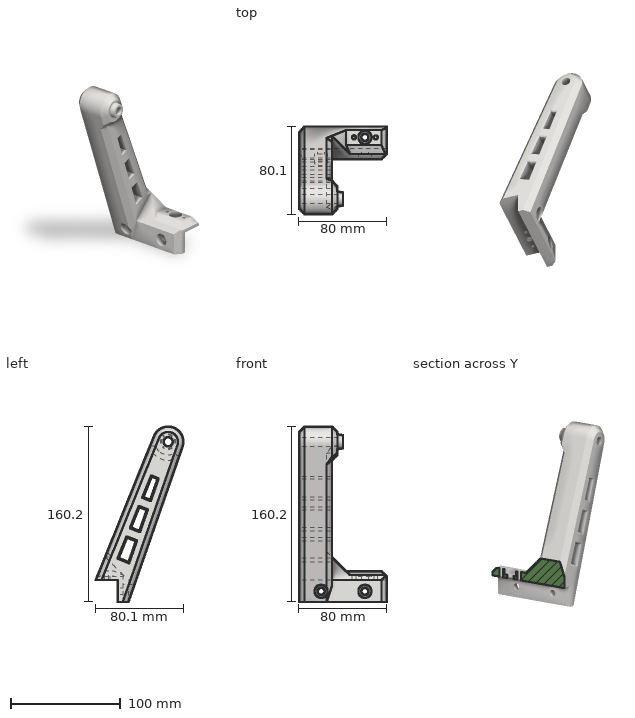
import cadquery as cq
import math

HEIGHT = 160.2
DEPTH = 80.1
FOOT_LENGTH = 80.0
ARM_WIDTH = 30.0
HEAD_WIDTH = 35.0
BASE_DEPTH = 30.0
STEP = 20.0
BEVEL = 5.0
HEAD_RADIUS = 14.0
OVERLAP = 16.0

HEAD_Y = HEAD_RADIUS - DEPTH
HEAD_Z = HEIGHT - HEAD_RADIUS

HUB_TIP_RADIUS = 12.0
PIN_BASE_DIAMETER = 14.0
PIN_TIP_DIAMETER = 12.2
PIN_END_X = 40.0
PIVOT_DIAMETER = 8.2

FOOT_HEIGHT = 28.4
GUSSET_TOP = 41.2
ROOF_REAR = (-17.0, FOOT_HEIGHT)
ROOF_FRONT = (-25.6, 24.5)

WINDOW_WALL = 12.0
WINDOW_LENGTH = 20.0
WINDOW_START = 26.8
WINDOW_PITCH = 30.0
WINDOW_COUNT = 3
WINDOW_BEVEL = 1.0

SCREW_DIAMETER = 6.2
COUNTERBORE_DIAMETER = 12.0
COUNTERBORE_DEPTH = 5.0
LOCATING_DIAMETER = 3.4
LOCATING_SPACING = 10.0
SCREW_Z = 10.0
ARM_SCREW_X = 20.0
FOOT_SCREW_X = 60.0
TOP_SCREW_Y = -10.0


def lean_to_head(y, z, side):
    """Angle from vertical of the line from (y, z) tangent to the head circle."""
    distance = math.hypot(HEAD_Y - y, HEAD_Z - z)
    return math.atan2(y - HEAD_Y, HEAD_Z - z) + side * math.asin(HEAD_RADIUS / distance)


REAR_LEAN = lean_to_head(0, STEP, -1)
FRONT_LEAN = lean_to_head(-BASE_DEPTH, 0, 1)


def rear_y(z):
    return -(z - STEP) * math.tan(REAR_LEAN)


def front_y(z):
    return -BASE_DEPTH - z * math.tan(FRONT_LEAN)


def yz_prism(points, x_start, x_end):
    return cq.Workplane("YZ", origin=(x_start, 0, 0)).polyline(points).close().extrude(x_end - x_start)


def xz_prism(points):
    """Prism across the whole depth of the part."""
    return cq.Workplane("XZ").polyline(points).close().extrude(DEPTH)


def arm_blank(x_start, x_end):
    """Tapered arm with a round head, running past the base so that it can be trimmed."""
    rear_tangent = (HEAD_Y + HEAD_RADIUS * math.cos(REAR_LEAN), HEAD_Z + HEAD_RADIUS * math.sin(REAR_LEAN))
    front_tangent = (HEAD_Y - HEAD_RADIUS * math.cos(FRONT_LEAN), HEAD_Z - HEAD_RADIUS * math.sin(FRONT_LEAN))
    return (
        cq.Workplane("YZ", origin=(x_start, 0, 0))
        .moveTo(rear_y(-OVERLAP), -OVERLAP)
        .lineTo(*rear_tangent)
        .threePointArc((HEAD_Y, HEIGHT), front_tangent)
        .lineTo(front_y(-OVERLAP), -OVERLAP)
        .close()
        .extrude(x_end - x_start)
    )


def bevelled_arm(width):
    return arm_blank(0, width).faces("<X or >X").edges().chamfer(BEVEL)


def x_cone(x_start, x_end, start_radius, end_radius):
    """Cone about the head axis."""
    return cq.Workplane(cq.Solid.makeCone(
        start_radius, end_radius, x_end - x_start,
        cq.Vector(x_start, HEAD_Y, HEAD_Z), cq.Vector(1, 0, 0),
    ))


def make_arm():
    hub_cone = x_cone(0, HEAD_WIDTH, HUB_TIP_RADIUS + HEAD_WIDTH, HUB_TIP_RADIUS)
    head = bevelled_arm(HEAD_WIDTH).intersect(hub_cone)
    pin_start = HEAD_WIDTH - BEVEL
    taper = (PIN_BASE_DIAMETER - PIN_TIP_DIAMETER) / 2 / (PIN_END_X - HEAD_WIDTH)
    pin = x_cone(
        pin_start, PIN_END_X, PIN_TIP_DIAMETER / 2 + taper * (PIN_END_X - pin_start), PIN_TIP_DIAMETER / 2
    )
    arm = bevelled_arm(ARM_WIDTH).union(head).union(pin)

    keep = yz_prism(
        [(-STEP, 0), (-STEP, STEP), (OVERLAP, STEP), (OVERLAP, HEIGHT + OVERLAP),
         (-DEPTH - OVERLAP, HEIGHT + OVERLAP), (-DEPTH - OVERLAP, 0)],
        0, FOOT_LENGTH,
    )
    return arm.intersect(keep)


def make_foot():
    """Foot with a sloped front, joined to the arm by a 45 degree gusset."""
    def foot_body(length, top):
        sloped_front_y = -BASE_DEPTH + top - STEP
        return yz_prism(
            [(-STEP, 0), (-BASE_DEPTH, 0), (-BASE_DEPTH, STEP), (sloped_front_y, top),
             (rear_y(top), top), (0, STEP), (-STEP, STEP)],
            ARM_WIDTH - BEVEL, length,
        )

    foot = foot_body(FOOT_LENGTH, FOOT_HEIGHT)
    roof_cut = yz_prism(
        [ROOF_REAR, ROOF_FRONT, (ROOF_FRONT[0], FOOT_HEIGHT)],
        0, FOOT_LENGTH,
    )
    foot = foot.cut(roof_cut)
    end_bevel = xz_prism(
        [(FOOT_LENGTH - BEVEL, FOOT_HEIGHT), (FOOT_LENGTH, FOOT_HEIGHT), (FOOT_LENGTH, FOOT_HEIGHT - BEVEL)]
    )
    corner_bevel = (
        cq.Workplane("XY")
        .polyline([(FOOT_LENGTH - BEVEL, -BASE_DEPTH), (FOOT_LENGTH, -BASE_DEPTH),
                   (FOOT_LENGTH, -BASE_DEPTH + BEVEL)])
        .close()
        .extrude(FOOT_HEIGHT)
    )
    foot = foot.cut(end_bevel).cut(corner_bevel)

    slope_foot_x = ARM_WIDTH + GUSSET_TOP - STEP
    slope_top_x = ARM_WIDTH - BEVEL
    below_slope = xz_prism([(slope_top_x, STEP), (slope_foot_x, STEP), (slope_top_x, GUSSET_TOP + BEVEL)])
    gusset = foot_body(slope_foot_x, GUSSET_TOP).intersect(below_slope)
    bevel_fill = (
        arm_blank(slope_top_x, ARM_WIDTH)
        .intersect(below_slope)
        .intersect(cq.Workplane("XY").box(FOOT_LENGTH, STEP, HEIGHT, centered=False).translate((0, -STEP, 0)))
    )
    return foot.union(gusset).union(bevel_fill)


def window_tool(index):
    """Window with walls parallel to the arm's edges and ends square to its rear edge."""
    taper = FRONT_LEAN - REAR_LEAN
    axis_y, axis_z = -math.sin(REAR_LEAN), math.cos(REAR_LEAN)
    front_offset_y, front_offset_z = -BASE_DEPTH, -STEP
    front_u = front_offset_y * axis_y + front_offset_z * axis_z
    front_v = -front_offset_y * axis_z + front_offset_z * axis_y

    def outline(margin):
        wall = WINDOW_WALL - margin
        bottom = WINDOW_START + index * WINDOW_PITCH - margin
        top = bottom + WINDOW_LENGTH + 2 * margin

        def front_wall(u):
            return front_v + (u - front_u) * math.tan(taper) - wall / math.cos(taper)

        corners = [(bottom, wall), (top, wall), (top, front_wall(top)), (bottom, front_wall(bottom))]
        return [(u * axis_y - v * axis_z, STEP + u * axis_z + v * axis_y) for u, v in corners]

    opening = yz_prism(outline(0), 0, ARM_WIDTH)
    rim = (
        cq.Workplane("YZ").polyline(outline(WINDOW_BEVEL)).close()
        .workplane(offset=WINDOW_BEVEL).polyline(outline(0)).close()
        .loft(ruled=True)
    )
    return opening.union(rim)


def counterbored_hole(face, drill_direction):
    """Screw hole through the foot, with a counterbore open outside the given face point."""
    start = cq.Vector(*face)
    direction = cq.Vector(*drill_direction)
    outside = start - direction * OVERLAP
    drill = cq.Solid.makeCylinder(SCREW_DIAMETER / 2, OVERLAP + BASE_DEPTH, outside, direction)
    counterbore = cq.Solid.makeCylinder(
        COUNTERBORE_DIAMETER / 2, OVERLAP + COUNTERBORE_DEPTH, outside, direction
    )
    return cq.Workplane(drill).union(cq.Workplane(counterbore))


def z_hole(x, y, diameter):
    """Straight hole down from the foot's top to the underside of the step."""
    return cq.Workplane("XY", origin=(x, y, STEP)).circle(diameter / 2).extrude(FOOT_HEIGHT - STEP)


result = make_arm().union(make_foot())

for window_index in range(WINDOW_COUNT):
    result = result.cut(window_tool(window_index))

pivot_hole = cq.Workplane("YZ").center(HEAD_Y, HEAD_Z).circle(PIVOT_DIAMETER / 2).extrude(PIN_END_X)
result = result.cut(pivot_hole)

for screw_x in (ARM_SCREW_X, FOOT_SCREW_X):
    result = result.cut(counterbored_hole((screw_x, -BASE_DEPTH, SCREW_Z), (0, 1, 0)))

result = result.cut(counterbored_hole((FOOT_SCREW_X, TOP_SCREW_Y, FOOT_HEIGHT), (0, 0, -1)))
for side in (-1, 1):
    result = result.cut(z_hole(FOOT_SCREW_X + side * LOCATING_SPACING, TOP_SCREW_Y, LOCATING_DIAMETER))